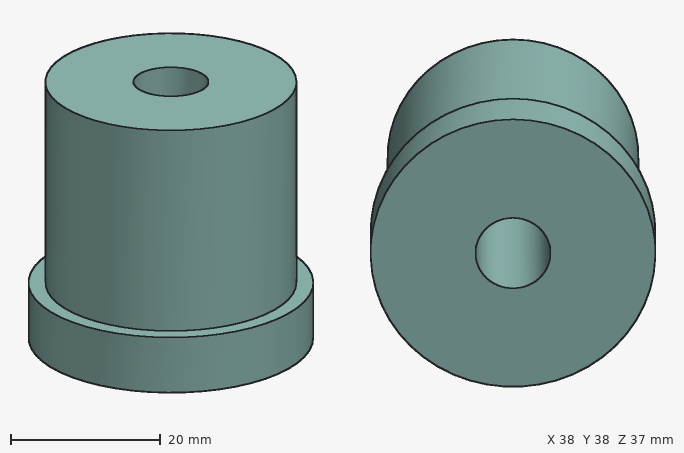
import cadquery as cq

flange_diameter = 38.0
flange_height = 8.0
body_diameter = 33.5
total_height = 37.0
bore_diameter = 10.0


def cylinder(diameter, height):
    """Upright cylinder standing on Z = 0, centred on the Z axis."""
    return cq.Workplane("XY").circle(diameter / 2).extrude(height)


flange = cylinder(flange_diameter, flange_height)
body = cylinder(body_diameter, total_height)
bore = cylinder(bore_diameter, total_height)

result = flange.union(body).cut(bore)